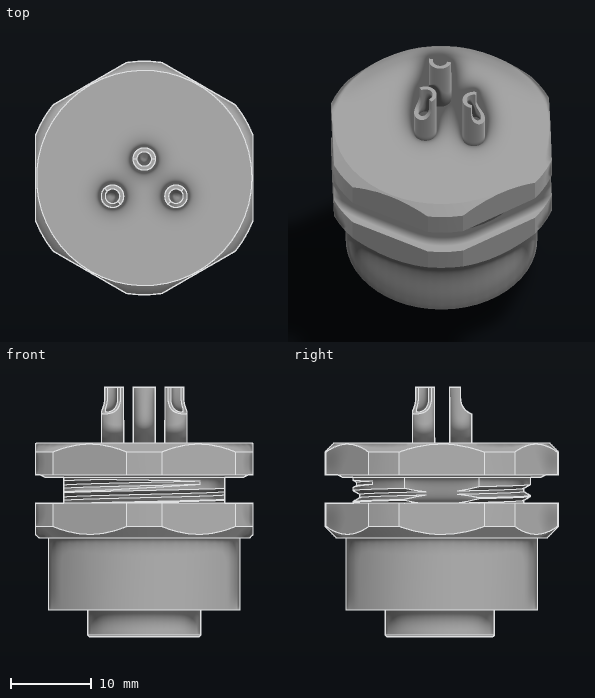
import cadquery as cq
import math

tip_top = 3.3
body_top = 12.23
lock_nut_top = 16.55
washer_bottom = 19.78
head_bottom = 20.1
head_top = 24.05
pin_top = 30.95

tip_radius = 7.03
tip_flat_offset = 6.53
tip_chamfer = 0.22
body_radius = 11.9

across_flats = 27.0
corner_radius = 14.5
head_chamfer = 1.15
lock_nut_chamfer = 1.45
washer_outer_radius = 12.97
washer_inner_radius = 12.32

thread_radius = 11.02
root_radius = 10.18
shank_across_flats = 20.0
thread_pitch = 1.5
thread_half_angle = 30.0
root_width = 0.4
groove_overlap = 0.05
main_turns = 2.5
runout_start_angle = 241.0
runout_sweep = 68.0
groove_height_at_runout = 18.82

pin_radius = 1.4
cup_radius = 0.9
cup_depth = 4.02
cup_cone_angle = 118.0
scoop_straight = 1.42
scoop_radius = 2.0
side_pin_x = 3.93
side_pin_y = -2.25
rear_pin_y = 2.35
pins = [
    (0.0, rear_pin_y, 90.0),
    (-side_pin_x, side_pin_y, 225.0),
    (side_pin_x, side_pin_y, 315.0),
]


def cylinder(radius, bottom, top):
    return cq.Workplane("XY").workplane(offset=bottom).circle(radius).extrude(top - bottom)


def hex_nut(bottom, top, chamfer, chamfered_edge):
    """Hexagon trimmed by a cylinder that is chamfered at one end."""
    across_corners = across_flats / math.cos(math.radians(30))
    hexagon = (
        cq.Workplane("XY")
        .workplane(offset=bottom)
        .transformed(rotate=(0, 0, 90))
        .polygon(6, across_corners)
        .extrude(top - bottom)
    )
    turned = cylinder(corner_radius, bottom, top).faces(chamfered_edge).chamfer(chamfer)
    return hexagon.intersect(turned)


def groove_sweep(helix):
    """Thread groove section, drawn at the start of the helix and swept along it."""
    reach = thread_radius - root_radius + groove_overlap
    root_half = root_width / 2
    mouth_half = root_half + reach * math.tan(math.radians(thread_half_angle))
    section = cq.Workplane("XZ").polyline([
        (root_radius, -root_half),
        (root_radius + reach, -mouth_half),
        (root_radius + reach, mouth_half),
        (root_radius, root_half),
    ]).close()
    return section.sweep(cq.Workplane("XY").add(helix), isFrenet=True)


def main_groove():
    """Full-depth helical groove that ends where the runout starts."""
    height = main_turns * thread_pitch
    helix = cq.Wire.makeHelix(thread_pitch, height, root_radius)
    start_angle = runout_start_angle - 360 * main_turns
    return (
        groove_sweep(helix)
        .rotate((0, 0, 0), (0, 0, 1), start_angle)
        .translate((0, 0, groove_height_at_runout - height))
    )


def runout_groove():
    """Groove that climbs a cone out to the thread crest; lengths run along the cone side."""
    turns = runout_sweep / 360
    rise = turns * thread_pitch
    depth = thread_radius - root_radius
    slant = math.hypot(rise, depth)
    cone_angle = math.degrees(math.atan2(depth, rise))
    helix = cq.Wire.makeHelix(slant / turns, slant, root_radius, angle=cone_angle)
    return (
        groove_sweep(helix)
        .rotate((0, 0, 0), (0, 0, 1), runout_start_angle)
        .translate((0, 0, groove_height_at_runout))
    )


def flats_envelope():
    """Slab between the two shank flats, used to trim the shank and to find what the flats leave open."""
    return (
        cq.Workplane("XY")
        .workplane(offset=body_top)
        .rect(shank_across_flats, 4 * thread_radius)
        .extrude(head_bottom - body_top)
    )


def threaded_shank():
    shank = cylinder(thread_radius, body_top, head_bottom)
    return shank.cut(main_groove()).cut(runout_groove()).intersect(flats_envelope())


def lock_nut():
    """Nut whose round bore stays open beside the shank flats."""
    bore_gaps = cylinder(thread_radius, body_top, lock_nut_top).cut(flats_envelope())
    return hex_nut(body_top, lock_nut_top, lock_nut_chamfer, "<Z").cut(bore_gaps)


def tip():
    """Round mating tip with a flat on its +Y side."""
    size = 2 * tip_radius
    keep = cq.Workplane("XY").box(2 * size, size, tip_top, centered=(True, False, False))
    keep = keep.translate((0, tip_flat_offset - size, 0))
    return cylinder(tip_radius, 0, tip_top).intersect(keep).faces("<Z").chamfer(tip_chamfer)


def washer_face():
    return (
        cq.Workplane("XY")
        .workplane(offset=washer_bottom)
        .circle(washer_inner_radius)
        .workplane(offset=head_bottom - washer_bottom)
        .circle(washer_outer_radius)
        .loft()
    )


def solder_pin(x, y, opening_angle):
    """Pin with a drilled cup whose wall is scooped away on one side."""
    pin = cylinder(pin_radius, head_top, pin_top)

    cone_height = cup_radius / math.tan(math.radians(cup_cone_angle / 2))
    cup_bottom = pin_top - cup_depth
    cup = (
        cq.Workplane("XZ")
        .moveTo(0, pin_top)
        .lineTo(cup_radius, pin_top)
        .lineTo(cup_radius, cup_bottom)
        .lineTo(0, cup_bottom - cone_height)
        .close()
        .revolve(360, (0, 0, 0), (0, 1, 0))
    )

    scoop_z = pin_top - scoop_straight
    arc_reach = scoop_radius * math.sqrt(0.5)
    arc_middle = (scoop_radius - arc_reach, scoop_z - arc_reach)
    arc_end = (scoop_radius, scoop_z - scoop_radius)
    scoop = (
        cq.Workplane("XZ")
        .moveTo(0, pin_top)
        .lineTo(0, scoop_z)
        .threePointArc(arc_middle, arc_end)
        .lineTo(scoop_radius, pin_top)
        .close()
        .extrude(pin_radius, both=True)
    )

    return pin.cut(cup).cut(scoop).rotate((0, 0, 0), (0, 0, 1), opening_angle).translate((x, y, 0))


result = (
    tip()
    .union(cylinder(body_radius, tip_top, body_top))
    .union(threaded_shank())
    .union(lock_nut())
    .union(washer_face())
    .union(hex_nut(head_bottom, head_top, head_chamfer, ">Z"))
)
for pin_x, pin_y, pin_opening in pins:
    result = result.union(solder_pin(pin_x, pin_y, pin_opening))